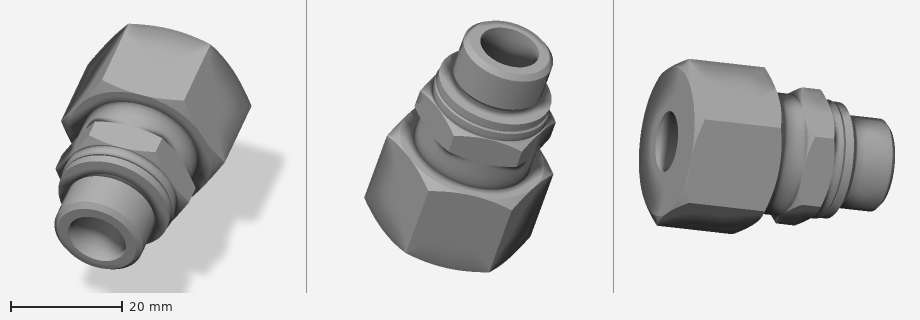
import cadquery as cq
import math

total_length = 41.2
bore_diameter = 11.0

thread_diameter = 16.8
tip_diameter = 14.9
tip_chamfer_length = 0.9
thread_end = 7.55
neck_diameter = 14.65
neck_start = 8.05
neck_end = 8.65
neck_flare_diameter = 15.25

ring_start = 9.0
ring_face_diameter = 17.15
ring_diameter = 21.05
ring_edge_start = 9.2
ring_end = 10.75
groove_diameter = 20.45
groove_end = 11.05
collar_diameter = 21.55
collar_chamfer = 0.2

hex_across_flats = 22.0
hex_start = 12.95
hex_end = 18.55
body_diameter = 22.0
nut_across_flats = 27.0
nut_start = 24.15
hex_chamfer_angle = 30.0


def revolve_about_y(profile):
    """Revolve (diameter, y) points, closed along the axis, about Y."""
    points = [(0, profile[0][1])]
    points += [(diameter / 2, y) for diameter, y in profile]
    points.append((0, profile[-1][1]))
    return cq.Workplane("XY").polyline(points).close().revolve(360, (0, 0, 0), (0, 1, 0))


def chamfered_hexagon(across_flats, start, end):
    """Hexagon with corners on X, turned down at both ends to the across-flats circle."""
    across_corners = across_flats / math.cos(math.radians(30))
    corner_drop = (across_corners - across_flats) / 2 * math.tan(math.radians(hex_chamfer_angle))
    prism = (
        cq.Workplane("XZ", origin=(0, start, 0))
        .polygon(6, across_corners)
        .extrude(start - end)
    )
    turned_blank = revolve_about_y([
        (across_flats, start),
        (across_corners, start + corner_drop),
        (across_corners, end - corner_drop),
        (across_flats, end),
    ])
    return prism.intersect(turned_blank)


turned_body = revolve_about_y([
    (tip_diameter, 0),
    (thread_diameter, tip_chamfer_length),
    (thread_diameter, thread_end),
    (neck_diameter, neck_start),
    (neck_diameter, neck_end),
    (neck_flare_diameter, ring_start),
    (ring_face_diameter, ring_start),
    (ring_diameter, ring_edge_start),
    (ring_diameter, ring_end),
    (groove_diameter, ring_end),
    (groove_diameter, groove_end),
    (collar_diameter - 2 * collar_chamfer, groove_end),
    (collar_diameter, groove_end + collar_chamfer),
    (collar_diameter, hex_start),
    (body_diameter, hex_start),
    (body_diameter, total_length),
])

body_hexagon = chamfered_hexagon(hex_across_flats, hex_start, hex_end)
nut = chamfered_hexagon(nut_across_flats, nut_start, total_length)
bore = revolve_about_y([(bore_diameter, 0), (bore_diameter, total_length)])

result = turned_body.union(body_hexagon).union(nut).cut(bore)